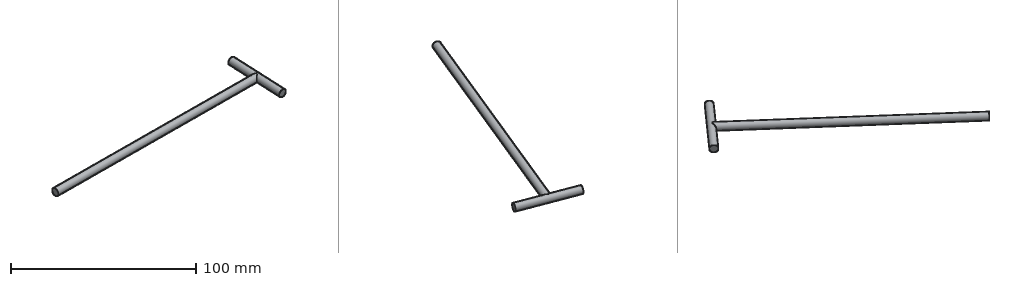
import cadquery as cq

overall_length = 152.5
crossbar_length = 40.0
rod_diameter = 5.0

rod_radius = rod_diameter / 2
shaft_length = overall_length - rod_radius


def make_crossbar():
    """Round bar along X, centred on the origin."""
    return cq.Workplane("YZ").circle(rod_radius).extrude(crossbar_length / 2, both=True)


def make_shaft():
    """Round bar running from the crossbar axis toward -Y."""
    return cq.Workplane("XZ").circle(rod_radius).extrude(shaft_length)


result = make_crossbar().union(make_shaft())